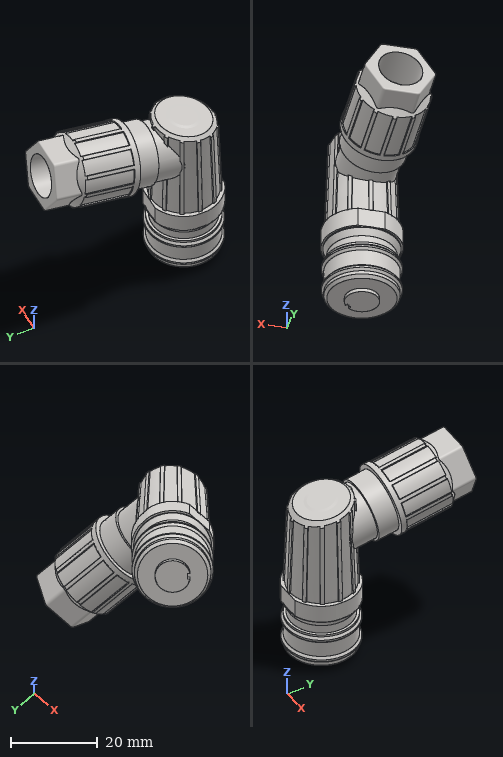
import cadquery as cq
import math

TIP_RADIUS = 4.1
TIP_HEIGHT = 0.9
TIP_SLOT_WIDTH = 1.35
TIP_SLOT_DEPTH = 0.65
TIP_SLOT_ANGLE = -45

PLUG_RADIUS = 8.85
PLUG_CHAMFER = 0.75
PLUG_TOP = 10.65
RING_RADIUS = 9.4
RING_CENTERS = (3.4, 9.25)
RING_BASE_WIDTH = 1.7
RING_CREST_WIDTH = 0.5
NECK_RADIUS = 8.15
NECK_TOP = 12.9

FLANGE_BOTTOM = 14.9
FLANGE_TOP = 19.7
FLANGE_RADIUS = 9.5
FLANGE_SIZE_X = 18.8
FLANGE_SIZE_Y = 17.95
COLLAR_RADIUS = 9.05
COLLAR_HEIGHT = 0.3

TILT = 10
RIB_WIDTH = 0.95
BODY_RIB_HEIGHT = 0.35
BODY_RIB_ANGLES = (0, 29, 57, 90, 123, 151)
BODY_BASE_RADIUS = 8.5
BODY_TAPER_START = 20.35
BODY_TAPER_ANGLE = 2.1
TOP_CENTER = 43.6
TOP_FACE_RADIUS = 6.8
TOP_SLOPE_ANGLE = 41
CAP_RADIUS = 4.1
CAP_TOP_RADIUS = 3.35
CAP_HEIGHT = 0.2

ARM_CENTER = 34.3
ARM_RADIUS = 7.3
STEP_RADIUS = 7.95
STEP_START = 10.7
SLEEVE_RADIUS = 9.25
SLEEVE_START = 16.1
SLEEVE_BAND = 1.5
SLEEVE_END = 29.9
SLEEVE_CONE_OVERLAP = 0.5
SLEEVE_RIB_HEIGHT = 0.35
SLEEVE_RIB_ANGLES = range(0, 180, 30)
HEX_ACROSS_FLATS = 14.85
HEX_CORNER_FILLET = 0.95
HEX_END_FILLET = 0.4
ARM_END = 37.2
BORE_RADIUS = 5.25
BORE_DEPTH = 9.7


def turned(profile):
    """Solid of revolution about Z from (radius, height) points; the axis closes the outline."""
    outline = [(0, profile[0][1])] + profile + [(0, profile[-1][1])]
    return cq.Workplane("XZ").polyline(outline).close().revolve(360, (0, 0), (0, 1))


def radial_ribs(angles, reach, bottom, top):
    """Bars across the Z axis, each one giving a pair of opposite ribs."""
    bars = None
    for angle in angles:
        bar = (
            cq.Workplane("XY", origin=(0, 0, bottom))
            .rect(2 * reach, RIB_WIDTH)
            .extrude(top - bottom)
            .rotate((0, 0, 0), (0, 0, 1), angle)
        )
        bars = bar if bars is None else bars.union(bar)
    return bars


def snap_ring(center):
    """Profile points of a ring with sloped sides, from bottom to top."""
    base = RING_BASE_WIDTH / 2
    crest = RING_CREST_WIDTH / 2
    return [
        (PLUG_RADIUS, center - base),
        (RING_RADIUS, center - crest),
        (RING_RADIUS, center + crest),
        (PLUG_RADIUS, center + base),
    ]


def make_plug():
    profile = [
        (TIP_RADIUS, 0),
        (TIP_RADIUS, TIP_HEIGHT),
        (PLUG_RADIUS - PLUG_CHAMFER, TIP_HEIGHT),
        (PLUG_RADIUS, TIP_HEIGHT + PLUG_CHAMFER),
    ]
    for center in RING_CENTERS:
        profile += snap_ring(center)
    profile += [
        (PLUG_RADIUS, PLUG_TOP),
        (NECK_RADIUS, PLUG_TOP),
        (NECK_RADIUS, NECK_TOP),
        (COLLAR_RADIUS, FLANGE_BOTTOM - COLLAR_HEIGHT),
        (COLLAR_RADIUS, FLANGE_BOTTOM),
    ]
    slot = (
        cq.Workplane("XY")
        .center(TIP_RADIUS, 0)
        .rect(2 * TIP_SLOT_DEPTH, TIP_SLOT_WIDTH)
        .extrude(TIP_HEIGHT)
        .rotate((0, 0, 0), (0, 0, 1), TIP_SLOT_ANGLE)
    )
    return turned(profile).cut(slot)


def make_flange():
    base = cq.Workplane("XY", origin=(0, 0, FLANGE_BOTTOM))
    height = FLANGE_TOP - FLANGE_BOTTOM
    disc = base.circle(FLANGE_RADIUS).extrude(height)
    return disc.intersect(base.rect(FLANGE_SIZE_X, FLANGE_SIZE_Y).extrude(height))


def tilted_top(solid):
    """Move a solid built about the origin to the tilted top of the body."""
    return solid.rotate((0, 0, 0), (1, 0, 0), TILT).translate((0, 0, TOP_CENTER))


def tapered_post(base_radius, top):
    shrink = (top - BODY_TAPER_START) * math.tan(math.radians(BODY_TAPER_ANGLE))
    return turned([
        (base_radius, FLANGE_TOP),
        (base_radius, BODY_TAPER_START),
        (base_radius - shrink, top),
    ])


def make_body():
    above_top = TOP_CENTER + TOP_FACE_RADIUS
    rib_radius = BODY_BASE_RADIUS + BODY_RIB_HEIGHT
    ribs = radial_ribs(BODY_RIB_ANGLES, FLANGE_RADIUS, FLANGE_TOP, above_top)
    ribs = ribs.intersect(tapered_post(rib_radius, above_top))
    body = tapered_post(BODY_BASE_RADIUS, above_top).union(ribs)

    drop = TOP_CENTER - FLANGE_TOP + TOP_FACE_RADIUS
    spread = drop / math.tan(math.radians(TOP_SLOPE_ANGLE))
    sloped_rim = turned([(TOP_FACE_RADIUS + spread, -drop), (TOP_FACE_RADIUS, 0)])
    cap = turned([(CAP_RADIUS, 0), (CAP_TOP_RADIUS, CAP_HEIGHT)])
    return body.intersect(tilted_top(sloped_rim)).union(tilted_top(cap))


def make_sleeve():
    """Ribbed sleeve with a plain band at its start and a 45 degree cone at its end."""
    panel_radius = SLEEVE_RADIUS - SLEEVE_RIB_HEIGHT
    band_end = SLEEVE_START + SLEEVE_BAND
    cone_top_radius = HEX_ACROSS_FLATS / 2 - SLEEVE_CONE_OVERLAP
    envelope = turned([
        (SLEEVE_RADIUS, SLEEVE_START),
        (SLEEVE_RADIUS, SLEEVE_END),
        (cone_top_radius, SLEEVE_END + SLEEVE_RADIUS - cone_top_radius),
    ])
    band = turned([(SLEEVE_RADIUS, SLEEVE_START), (SLEEVE_RADIUS, band_end)])
    core = turned([(panel_radius, SLEEVE_START), (panel_radius, ARM_END)])
    ribs = radial_ribs(SLEEVE_RIB_ANGLES, SLEEVE_RADIUS, SLEEVE_START, ARM_END)
    return core.union(ribs).union(band).intersect(envelope)


def make_hex_end():
    across_corners = HEX_ACROSS_FLATS / math.cos(math.radians(30))
    return (
        cq.Workplane("XY", origin=(0, 0, SLEEVE_START))
        .polygon(6, across_corners)
        .extrude(ARM_END - SLEEVE_START)
        .edges("|Z")
        .fillet(HEX_CORNER_FILLET)
        .faces(">Z")
        .edges()
        .fillet(HEX_END_FILLET)
    )


def make_arm():
    neck = turned([
        (ARM_RADIUS, 0),
        (ARM_RADIUS, STEP_START),
        (STEP_RADIUS, STEP_START),
        (STEP_RADIUS, SLEEVE_START),
    ])
    bore = turned([(BORE_RADIUS, ARM_END - BORE_DEPTH), (BORE_RADIUS, ARM_END)])
    arm = neck.union(make_sleeve()).union(make_hex_end()).cut(bore)
    return arm.rotate((0, 0, 0), (1, 0, 0), TILT - 90).translate((0, 0, ARM_CENTER))


result = make_plug().union(make_flange()).union(make_body()).union(make_arm())